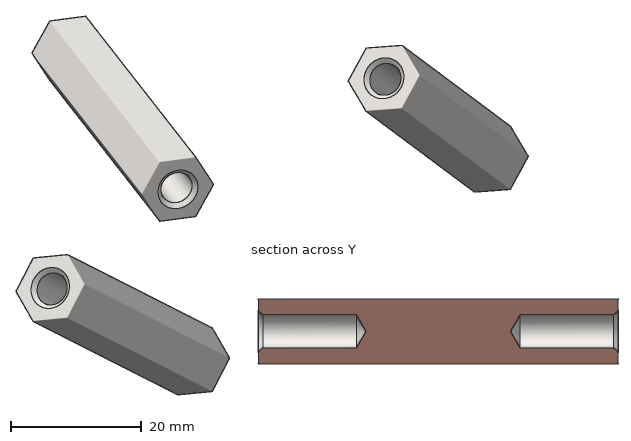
import cadquery as cq
import math

length = 55.0
across_flats = 10.0
edge_radius = 0.1

bore_diameter = 5.0
countersink_diameter = 6.4
countersink_angle = 90.0
bore_depth = 15.0
drill_point_angle = 120.0

flat_count = 6
across_corners = across_flats / math.cos(math.pi / flat_count)
half_length = length / 2


def cone_height(diameter, included_angle):
    """Height of a cone with the given base diameter and included angle."""
    return diameter / 2 / math.tan(math.radians(included_angle / 2))


def hexagonal_bar():
    """Bar centred on the origin: corners on +/-Y, flats facing +/-Z, all edges softened."""
    bar = cq.Workplane("YZ").polygon(flat_count, across_corners).extrude(half_length, both=True)
    return bar.edges().fillet(edge_radius)


def blind_hole():
    """Countersunk, drill-pointed hole entering the -X end, as a solid of revolution about X."""
    bore_radius = bore_diameter / 2
    countersink_radius = countersink_diameter / 2
    countersink_depth = cone_height(countersink_diameter - bore_diameter, countersink_angle)
    point_length = cone_height(bore_diameter, drill_point_angle)
    mouth_x = -half_length
    return (
        cq.Workplane("XY")
        .moveTo(mouth_x, 0)
        .lineTo(mouth_x, countersink_radius)
        .lineTo(mouth_x + countersink_depth, bore_radius)
        .lineTo(mouth_x + bore_depth, bore_radius)
        .lineTo(mouth_x + bore_depth + point_length, 0)
        .close()
        .revolve(360, (0, 0, 0), (1, 0, 0))
    )


hole = blind_hole()
result = hexagonal_bar().cut(hole).cut(hole.mirror("YZ"))